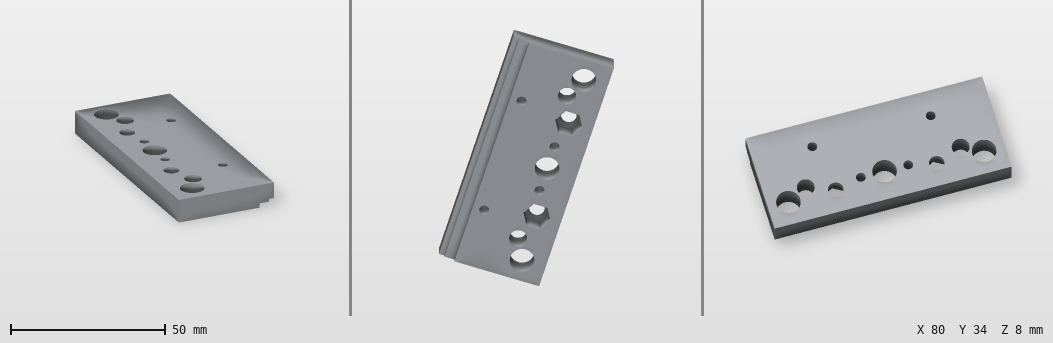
import cadquery as cq
import math

length = 80.0
width = 34.0
thickness = 8.0

back_steps = [(5.2, 1.5), (1.8, 2.5)]

dowel_diameter = 8.0
centre_row_y = 10.0

screw_offset = 17.0
screw_y = 8.0
screw_diameter = 5.1
nut_across_flats = 8.0
nut_roof_thickness = 2.0
nut_pocket_depth = thickness - nut_roof_thickness

hole_pairs = [
    (8.0, centre_row_y, 3.2),
    (screw_offset, screw_y, screw_diameter),
    (26.2, 11.5, 5.8),
    (33.0, screw_y, dowel_diameter),
    (20.0, 25.0, 3.2),
]


def through_hole(x, y, diameter):
    return cq.Workplane("XY").center(x, y).circle(diameter / 2).extrude(thickness)


def nut_pocket(x, y):
    across_corners = nut_across_flats / math.cos(math.pi / 6)
    return (
        cq.Workplane("XY")
        .polygon(6, across_corners)
        .extrude(nut_pocket_depth)
        .rotate((0, 0, 0), (0, 0, 1), 90)
        .translate((x, y, 0))
    )


def back_step(depth, height):
    return (
        cq.Workplane("XY")
        .box(length, depth, height, centered=(True, False, False))
        .translate((0, width - depth, 0))
    )


result = cq.Workplane("XY").box(length, width, thickness, centered=(True, False, False))

for depth, height in back_steps:
    result = result.cut(back_step(depth, height))

result = result.cut(through_hole(0, centre_row_y, dowel_diameter))
for offset, y, diameter in hole_pairs:
    for side in (-1, 1):
        result = result.cut(through_hole(side * offset, y, diameter))

for side in (-1, 1):
    result = result.cut(nut_pocket(side * screw_offset, screw_y))